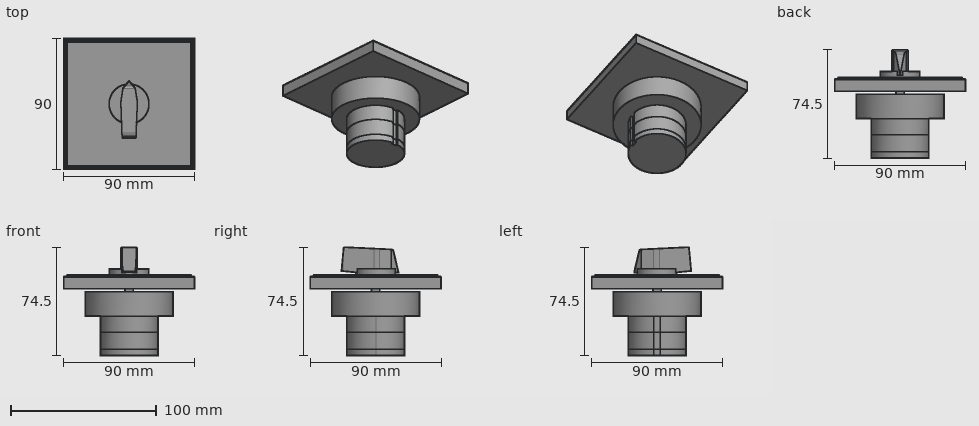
import cadquery as cq

DECK_HEIGHTS = [4.5, 11.6, 11.0]
DRUM_HEIGHT = 16.8
PLATE_GAP = 2.0
FRAME_HEIGHT = 8.8
COVER_HEIGHT = 0.8
DISC_HEIGHT = 4.1
TOTAL_HEIGHT = 74.5

DRUM_BOTTOM = sum(DECK_HEIGHTS)
DRUM_TOP = DRUM_BOTTOM + DRUM_HEIGHT
FRAME_BOTTOM = DRUM_TOP + PLATE_GAP
FRAME_TOP = FRAME_BOTTOM + FRAME_HEIGHT
COVER_TOP = FRAME_TOP + COVER_HEIGHT

DECK_RADIUS = 19.9
SLOT_WIDTH = 4.2
SLOT_DEPTH = 1.6

DRUM_RADIUS = 30.2

FRAME_SIDE = 90.0
FRAME_CHAMFER = 0.8
COVER_SIDE = 86.2
COVER_BEVEL = 0.8

SHAFT_SIDE = 5.85

DISC_RADIUS = 13.7

POINTER_TIP_Y = 15.8
SHOULDER_Y = 10.7
SHOULDER_HALF = 4.2
CROWN_FRONT_Y = 2.5
CROWN_FRONT_HALF = 5.5
CROWN_HALF = 5.7
CROWN_Y = 0.5
CROWN_REAR_Y = -1.35
CROWN_REAR_HALF = 5.6
REAR_Y = -23.5
REAR_HALF = 4.8
REAR_CORNER_RADIUS = 0.9

HANDLE_BOTTOM = 57.1
POINTER_TOP_Y = 12.1
POINTER_TOP_Z = 73.0
FRONT_TOP_RADIUS = 1.8
TOP_FLAT_Y = -19.7
REAR_TOP_Y = -22.0
REAR_TOP_RADIUS = 0.9
UNDERCUT_Y = -12.8
REAR_BOTTOM_Z = 58.1


def make_deck(bottom, height):
    """One slotted disc of the contact stack."""
    deck = cq.Workplane("XY", origin=(0, 0, bottom)).circle(DECK_RADIUS).extrude(height)
    slot = (
        cq.Workplane("XY", origin=(-DECK_RADIUS, 0, bottom))
        .rect(2 * SLOT_DEPTH, SLOT_WIDTH)
        .extrude(height)
    )
    return deck.cut(slot)


def make_decks():
    """All contact decks, stacked upward from height zero."""
    decks = []
    bottom = 0
    for height in DECK_HEIGHTS:
        decks.append(make_deck(bottom, height))
        bottom += height
    return decks


def make_drum():
    return cq.Workplane("XY", origin=(0, 0, DRUM_BOTTOM)).circle(DRUM_RADIUS).extrude(DRUM_HEIGHT)


def make_shaft():
    """Square shaft from the drum to the underside of the knob disc."""
    return (
        cq.Workplane("XY", origin=(0, 0, DRUM_TOP))
        .rect(SHAFT_SIDE, SHAFT_SIDE)
        .extrude(COVER_TOP - DRUM_TOP)
    )


def make_frame(shaft):
    """Thick square plate with a chamfered top rim and a hole for the shaft."""
    plate = (
        cq.Workplane("XY", origin=(0, 0, FRAME_BOTTOM))
        .rect(FRAME_SIDE, FRAME_SIDE)
        .extrude(FRAME_HEIGHT)
        .faces(">Z")
        .chamfer(FRAME_CHAMFER)
    )
    return plate.cut(shaft)


def make_cover(shaft):
    """Thin square plate, bevelled over its full height, with a hole for the shaft."""
    top_side = COVER_SIDE - 2 * COVER_BEVEL
    plate = (
        cq.Workplane("XY", origin=(0, 0, FRAME_TOP))
        .rect(COVER_SIDE, COVER_SIDE)
        .workplane(offset=COVER_HEIGHT)
        .rect(top_side, top_side)
        .loft(ruled=True)
    )
    return plate.cut(shaft)


def make_handle():
    """Pointed grip: its plan outline intersected with its side profile."""
    plan = (
        cq.Workplane("XY", origin=(0, 0, HANDLE_BOTTOM))
        .moveTo(0, POINTER_TIP_Y)
        .lineTo(SHOULDER_HALF, SHOULDER_Y)
        .lineTo(CROWN_FRONT_HALF, CROWN_FRONT_Y)
        .threePointArc((CROWN_HALF, CROWN_Y), (CROWN_REAR_HALF, CROWN_REAR_Y))
        .lineTo(REAR_HALF, REAR_Y)
        .lineTo(0, REAR_Y)
        .mirrorY()
        .extrude(TOTAL_HEIGHT - HANDLE_BOTTOM)
        .edges("|Z and <Y")
        .fillet(REAR_CORNER_RADIUS)
    )
    profile = (
        cq.Workplane("YZ")
        .polyline([
            (POINTER_TIP_Y, HANDLE_BOTTOM),
            (POINTER_TOP_Y, POINTER_TOP_Z),
            (TOP_FLAT_Y, TOTAL_HEIGHT),
            (REAR_TOP_Y, TOTAL_HEIGHT),
            (REAR_Y, REAR_BOTTOM_Z),
            (UNDERCUT_Y, HANDLE_BOTTOM),
        ])
        .close()
        .extrude(2 * CROWN_HALF, both=True)
    )
    front_top = cq.selectors.NearestToPointSelector((0, POINTER_TOP_Y, POINTER_TOP_Z))
    rear_top = cq.selectors.NearestToPointSelector((0, REAR_TOP_Y, TOTAL_HEIGHT))
    profile = profile.edges(front_top).fillet(FRONT_TOP_RADIUS)
    profile = profile.edges(rear_top).fillet(REAR_TOP_RADIUS)
    return plan.intersect(profile)


def make_knob():
    disc = cq.Workplane("XY", origin=(0, 0, COVER_TOP)).circle(DISC_RADIUS).extrude(DISC_HEIGHT)
    return disc.union(make_handle())


decks = make_decks()
drum = make_drum()
shaft = make_shaft()
frame = make_frame(shaft)
cover = make_cover(shaft)
knob = make_knob()

result = cq.Compound.makeCompound([
    *[deck.val() for deck in decks],
    drum.val(),
    shaft.val(),
    frame.val(),
    cover.val(),
    knob.val(),
])